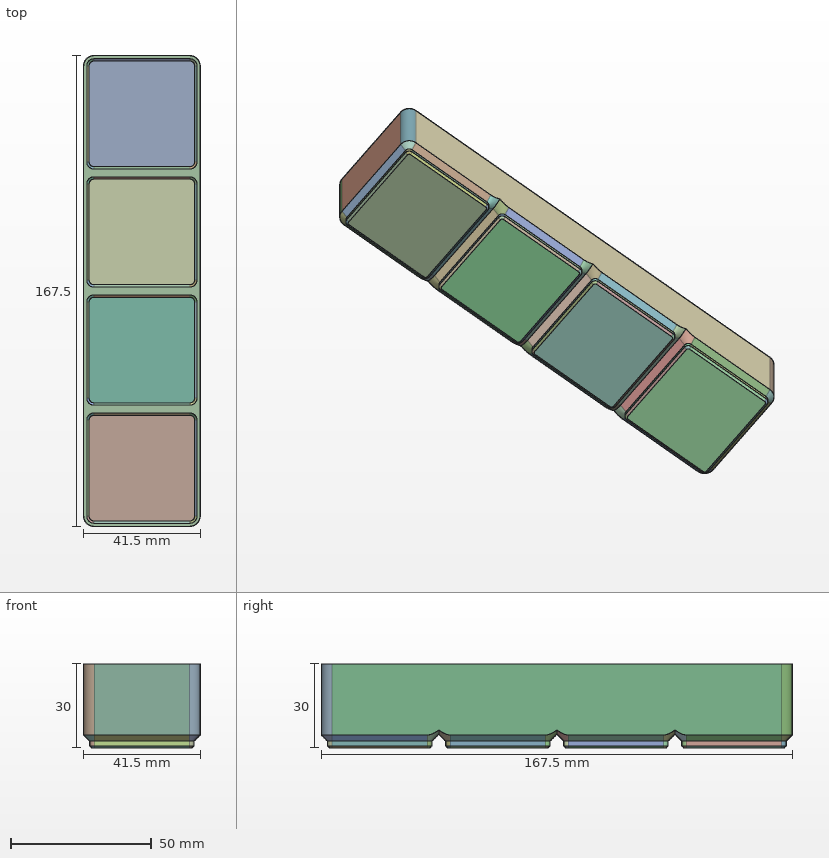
import cadquery as cq

length = 167.5
width = 41.5
height = 30.0
cell_count = 4
corner_radius = 3.9
cell_pitch = (length - width) / (cell_count - 1)

foot_chamfer = 0.8
flare_start = 2.5
flare_rise = 5.0
foot_inset = 2.2
foot_width = width - 2 * foot_inset
foot_radius = corner_radius - foot_inset

wall_at_rim = 1.2
rim_chamfer = 0.8
floor_height = 7.0
pocket_radius = 1.7
rim_width = width - 2 * wall_at_rim
rim_radius = pocket_radius + rim_chamfer
pocket_width = rim_width - 2 * rim_chamfer

cell_centers = [(0, (i - (cell_count - 1) / 2) * cell_pitch) for i in range(cell_count)]


def rounded_block(size_x, size_y, radius, bottom, top):
    """Block centred on the Z axis with rounded vertical edges."""
    block = cq.Workplane("XY").workplane(offset=bottom).rect(size_x, size_y).extrude(top - bottom)
    return block.edges("|Z").fillet(radius)


def make_foot():
    """Straight pad with a chamfered sole, flaring out at 45 degrees above it."""
    pad = rounded_block(foot_width, foot_width, foot_radius, 0, flare_start)
    pad = pad.faces("<Z").chamfer(foot_chamfer)
    flare_width = foot_width + 2 * flare_rise
    flare = rounded_block(flare_width, flare_width, foot_radius + flare_rise, flare_start, height)
    flare = flare.faces("<Z").chamfer(flare_rise)
    return pad.union(flare)


def make_pocket():
    """Square pocket that opens out to a 45 degree chamfer at the rim."""
    shaft = rounded_block(pocket_width, pocket_width, pocket_radius, floor_height, height)
    mouth = rounded_block(rim_width, rim_width, rim_radius, height - rim_chamfer, height + rim_chamfer)
    mouth = mouth.faces("<Z").chamfer(rim_chamfer)
    return shaft.union(mouth)


def at_each_cell(shape):
    """Copies of the shape at every cell centre, merged together."""
    solid = shape.val()
    cells = cq.Workplane("XY").pushPoints(cell_centers)
    return cells.eachpoint(lambda place: solid.moved(place), combine=True)


body = rounded_block(width, length, corner_radius, 0, height)
result = body.intersect(at_each_cell(make_foot())).cut(at_each_cell(make_pocket()))